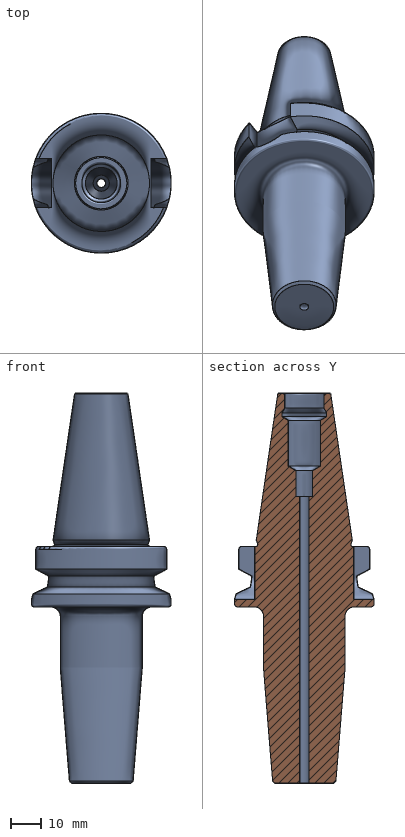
import cadquery as cq
import math


ARC_MIDDLE = 1 - math.sqrt(0.5)
FULL_TURN = 360

TAPER_RATE = 7 / 24
GAUGE_DIAMETER = 31.75
GAUGE_RADIUS = GAUGE_DIAMETER / 2
TAPER_LENGTH = 48.4
TAPER_TOP_RADIUS = GAUGE_RADIUS - TAPER_LENGTH * TAPER_RATE / 2
TAPER_TOP_CHAMFER = 0.4

RELIEF_RADIUS = 15.4
RELIEF_FILLET = 0.6

FLANGE_RADIUS = 23.0
FLANGE_TOP_Z = -2.0
FLANGE_BOTTOM_Z = -22.0
FLANGE_EDGE_ROUND = 1.0
GROOVE_CENTER_Z = -13.6
GROOVE_FLOOR_RADIUS = 19.1
GROOVE_FLOOR_HALF_WIDTH = 1.8
GROOVE_WALL_ANGLE = 30.0
GROOVE_DEPTH = FLANGE_RADIUS - GROOVE_FLOOR_RADIUS
GROOVE_MOUTH_HALF_WIDTH = GROOVE_FLOOR_HALF_WIDTH + GROOVE_DEPTH * math.tan(math.radians(GROOVE_WALL_ANGLE))

SLOT_WIDTH = 16.1
SLOT_FLOOR_X = 16.3
SLOT_BOTTOM_Z = -19.5

NOSE_RADIUS = 13.5
NOSE_FILLET = 3.0
NOSE_CONE_TOP_Z = -42.0
NOSE_TIP_RADIUS = 10.5
NOSE_TIP_Z = -80.0
NOSE_TIP_CHAMFER = 0.8

SOCKET_RADIUS = 6.4
SOCKET_MOUTH_ROUND = 0.7
SOCKET_DEPTH = 5.0
UNDERCUT_RADIUS = 7.3
UNDERCUT_FLARE_ANGLE = 30.0
UNDERCUT_FLARE_HEIGHT = (UNDERCUT_RADIUS - SOCKET_RADIUS) / math.tan(math.radians(UNDERCUT_FLARE_ANGLE))
UNDERCUT_END_DEPTH = 7.75
THREAD_RADIUS = 5.2
LEAD_IN_ANGLE = 60.0
LEAD_IN_HEIGHT = (UNDERCUT_RADIUS - THREAD_RADIUS) / math.tan(math.radians(LEAD_IN_ANGLE))
THREAD_DEPTH = 24.0
DRILL_RADIUS = 2.65
DRILL_POINT_ANGLE = 59.0
DRILL_POINT_HEIGHT = (THREAD_RADIUS - DRILL_RADIUS) / math.tan(math.radians(DRILL_POINT_ANGLE))
DRILL_DEPTH = 34.0
COOLANT_RADIUS = 1.4


def make_body():
    """Revolved outside shape: taper, relief, grooved flange and nose."""
    round_middle = FLANGE_EDGE_ROUND * ARC_MIDDLE
    fillet_middle = NOSE_FILLET * ARC_MIDDLE
    relief_middle = RELIEF_FILLET * ARC_MIDDLE
    return (
        cq.Workplane("XZ")
        .moveTo(0, TAPER_LENGTH)
        .lineTo(TAPER_TOP_RADIUS - TAPER_TOP_CHAMFER, TAPER_LENGTH)
        .lineTo(TAPER_TOP_RADIUS, TAPER_LENGTH - TAPER_TOP_CHAMFER)
        .lineTo(GAUGE_RADIUS, 0)
        .lineTo(RELIEF_RADIUS, FLANGE_TOP_Z + RELIEF_FILLET)
        .threePointArc(
            (RELIEF_RADIUS + relief_middle, FLANGE_TOP_Z + relief_middle),
            (RELIEF_RADIUS + RELIEF_FILLET, FLANGE_TOP_Z),
        )
        .lineTo(FLANGE_RADIUS - FLANGE_EDGE_ROUND, FLANGE_TOP_Z)
        .threePointArc(
            (FLANGE_RADIUS - round_middle, FLANGE_TOP_Z - round_middle),
            (FLANGE_RADIUS, FLANGE_TOP_Z - FLANGE_EDGE_ROUND),
        )
        .lineTo(FLANGE_RADIUS, GROOVE_CENTER_Z + GROOVE_MOUTH_HALF_WIDTH)
        .lineTo(GROOVE_FLOOR_RADIUS, GROOVE_CENTER_Z + GROOVE_FLOOR_HALF_WIDTH)
        .lineTo(GROOVE_FLOOR_RADIUS, GROOVE_CENTER_Z - GROOVE_FLOOR_HALF_WIDTH)
        .lineTo(FLANGE_RADIUS, GROOVE_CENTER_Z - GROOVE_MOUTH_HALF_WIDTH)
        .lineTo(FLANGE_RADIUS, FLANGE_BOTTOM_Z + FLANGE_EDGE_ROUND)
        .threePointArc(
            (FLANGE_RADIUS - round_middle, FLANGE_BOTTOM_Z + round_middle),
            (FLANGE_RADIUS - FLANGE_EDGE_ROUND, FLANGE_BOTTOM_Z),
        )
        .lineTo(NOSE_RADIUS + NOSE_FILLET, FLANGE_BOTTOM_Z)
        .threePointArc(
            (NOSE_RADIUS + fillet_middle, FLANGE_BOTTOM_Z - fillet_middle),
            (NOSE_RADIUS, FLANGE_BOTTOM_Z - NOSE_FILLET),
        )
        .lineTo(NOSE_RADIUS, NOSE_CONE_TOP_Z)
        .lineTo(NOSE_TIP_RADIUS, NOSE_TIP_Z + NOSE_TIP_CHAMFER)
        .lineTo(NOSE_TIP_RADIUS - NOSE_TIP_CHAMFER, NOSE_TIP_Z)
        .lineTo(0, NOSE_TIP_Z)
        .close()
        .revolve(FULL_TURN, (0, 0, 0), (0, 1, 0))
    )


def make_bore():
    """Revolved cutter for the stepped, undercut socket and the coolant bore through the nose."""
    round_middle = SOCKET_MOUTH_ROUND * ARC_MIDDLE
    undercut_start_z = TAPER_LENGTH - SOCKET_DEPTH
    undercut_end_z = TAPER_LENGTH - UNDERCUT_END_DEPTH
    thread_end_z = TAPER_LENGTH - THREAD_DEPTH
    drill_end_z = TAPER_LENGTH - DRILL_DEPTH
    return (
        cq.Workplane("XZ")
        .moveTo(0, TAPER_LENGTH)
        .lineTo(SOCKET_RADIUS + SOCKET_MOUTH_ROUND, TAPER_LENGTH)
        .threePointArc(
            (SOCKET_RADIUS + round_middle, TAPER_LENGTH - round_middle),
            (SOCKET_RADIUS, TAPER_LENGTH - SOCKET_MOUTH_ROUND),
        )
        .lineTo(SOCKET_RADIUS, undercut_start_z)
        .lineTo(UNDERCUT_RADIUS, undercut_start_z - UNDERCUT_FLARE_HEIGHT)
        .lineTo(UNDERCUT_RADIUS, undercut_end_z)
        .lineTo(THREAD_RADIUS, undercut_end_z - LEAD_IN_HEIGHT)
        .lineTo(THREAD_RADIUS, thread_end_z)
        .lineTo(DRILL_RADIUS, thread_end_z - DRILL_POINT_HEIGHT)
        .lineTo(DRILL_RADIUS, drill_end_z)
        .lineTo(COOLANT_RADIUS, drill_end_z)
        .lineTo(COOLANT_RADIUS, NOSE_TIP_Z)
        .lineTo(0, NOSE_TIP_Z)
        .close()
        .revolve(FULL_TURN, (0, 0, 0), (0, 1, 0))
    )


def make_drive_slot(side):
    """Cutter for one round-bottomed drive slot; side is +1 or -1 along X."""
    half_width = SLOT_WIDTH / 2
    arc_center_z = SLOT_BOTTOM_Z + half_width
    return (
        cq.Workplane("YZ", origin=(side * SLOT_FLOOR_X, 0, 0))
        .moveTo(-half_width, FLANGE_TOP_Z)
        .lineTo(-half_width, arc_center_z)
        .threePointArc((0, SLOT_BOTTOM_Z), (half_width, arc_center_z))
        .lineTo(half_width, FLANGE_TOP_Z)
        .close()
        .extrude(side * FLANGE_RADIUS)
    )


result = make_body().cut(make_bore())
for side in (-1, 1):
    result = result.cut(make_drive_slot(side))